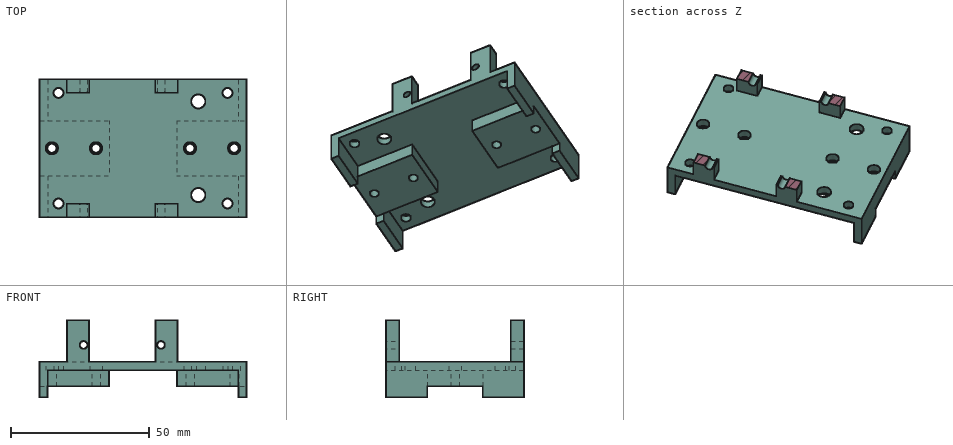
import cadquery as cq

length = 75.0
width = 50.0
plate_thickness = 3.2

wall_thickness = 3.0
wall_height = 13.0
notch_width = 20.0
notch_depth = 4.0

block_length = 22.2
block_bottom = wall_height - notch_depth

post_length = 8.0
post_width = 4.9
post_height = 15.0
post_left_edges = (-27.5, 4.5)
post_hole_diameter = 2.7
post_hole_height = 6.0
post_hole_xs = (-21.5, 6.5)

corner_hole_diameter = 3.5
corner_hole_x = 30.6
corner_hole_y = 20.0
large_hole_diameter = 5.0
large_hole_x = 20.0
large_hole_y = 16.95

bolt_diameter = 3.2
counterbore_diameter = 4.5
counterbore_depth = plate_thickness
bolt_xs = (-33.0, -17.0, 17.0, 33.0)


def box_between(x_min, x_max, y_min, y_max, z_min, z_max):
    """Box spanning the given limits."""
    size = (x_max - x_min, y_max - y_min, z_max - z_min)
    return cq.Workplane("XY").box(*size, centered=False).translate((x_min, y_min, z_min))


def vertical_holes(points, diameter, depth):
    """Cylinders going down from the top face of the plate."""
    return cq.Workplane("XY").pushPoints(points).circle(diameter / 2).extrude(-depth)


half_length = length / 2
half_width = width / 2
half_notch = notch_width / 2

inner_x = half_length - wall_thickness
body = box_between(-half_length, half_length, -half_width, half_width, -wall_height, 0)
body = body.cut(box_between(-inner_x, inner_x, -half_width, half_width, -wall_height, -plate_thickness))

body = body.cut(box_between(-half_length, half_length, -half_notch, half_notch, -wall_height, -block_bottom))

for x_min in (-inner_x, inner_x - block_length):
    body = body.union(
        box_between(x_min, x_min + block_length, -half_notch, half_notch, -block_bottom, -plate_thickness)
    )

for x_min in post_left_edges:
    for y_min in (-half_width, half_width - post_width):
        body = body.union(
            box_between(x_min, x_min + post_length, y_min, y_min + post_width, 0, post_height)
        )

post_holes = (
    cq.Workplane("XZ", origin=(0, half_width, 0))
    .pushPoints([(x, post_hole_height) for x in post_hole_xs])
    .circle(post_hole_diameter / 2)
    .extrude(width)
)
body = body.cut(post_holes)

corner_points = [(x, y) for x in (-corner_hole_x, corner_hole_x) for y in (-corner_hole_y, corner_hole_y)]
large_points = [(large_hole_x, y) for y in (-large_hole_y, large_hole_y)]
body = body.cut(vertical_holes(corner_points, corner_hole_diameter, plate_thickness))
body = body.cut(vertical_holes(large_points, large_hole_diameter, plate_thickness))

bolt_points = [(x, 0) for x in bolt_xs]
body = body.cut(vertical_holes(bolt_points, bolt_diameter, block_bottom))
body = body.cut(vertical_holes(bolt_points, counterbore_diameter, counterbore_depth))

result = body